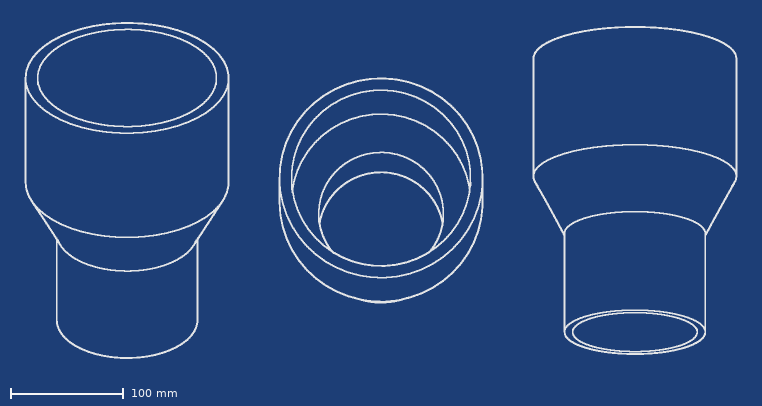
import cadquery as cq

total_height = 255.0
spigot_height = 91.8
socket_height = 110.0
spigot_diameter = 125.0
spigot_bore = 110.5
socket_diameter = 180.0
socket_bore = 158.5

cone_bottom = spigot_height
cone_top = total_height - socket_height


def reducer_solid(lower_diameter, upper_diameter):
    """Solid of revolution: narrow cylinder, cone, then wide cylinder."""
    lower_radius = lower_diameter / 2
    upper_radius = upper_diameter / 2
    half_profile = (
        cq.Workplane("XZ")
        .lineTo(lower_radius, 0)
        .lineTo(lower_radius, cone_bottom)
        .lineTo(upper_radius, cone_top)
        .lineTo(upper_radius, total_height)
        .lineTo(0, total_height)
        .close()
    )
    return half_profile.revolve(360, (0, 0, 0), (0, 1, 0))


outer_body = reducer_solid(spigot_diameter, socket_diameter)
flow_passage = reducer_solid(spigot_bore, socket_bore)
result = outer_body.cut(flow_passage)